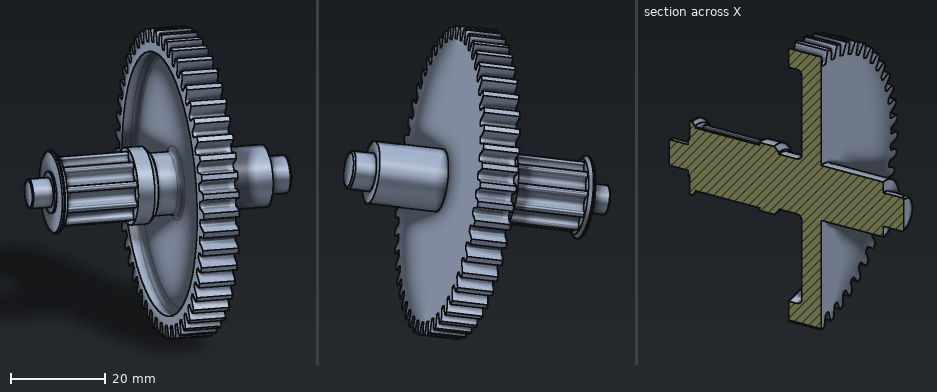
import cadquery as cq
import math


GEAR_TEETH = 50
MODULE = 1.27
PRESSURE_ANGLE = math.radians(14.5)
GEAR_WIDTH = 7.94
GEAR_CLOCKING = -1.2
TOOTH_THICKNESS = 0.5 * math.pi * MODULE
PITCH_RADIUS = 0.5 * MODULE * GEAR_TEETH
TIP_RADIUS = PITCH_RADIUS + MODULE
DEDENDUM_RATIO = 1.2
ROOT_RADIUS = PITCH_RADIUS - DEDENDUM_RATIO * MODULE
BASE_RADIUS = PITCH_RADIUS * math.cos(PRESSURE_ANGLE)
ROOT_FILLET = BASE_RADIUS - ROOT_RADIUS

RECESS_RADIUS = 56.29 / 2
RECESS_DEPTH = 3.2
RECESS_FILLET = 1.27

FRONT_PIN_RADIUS = 6.35 / 2
FRONT_COLLAR_RADIUS = 8.89 / 2
FLANGE_RADIUS = 17.78 / 2
SHOULDER_RADIUS = 16.51 / 2
SHAFT_RADIUS = 13.36 / 2
REAR_PIN_RADIUS = 8.2 / 2

FRONT_PIN_LENGTH = 4.57
FRONT_COLLAR_LENGTH = 0.38
FLANGE_LENGTH = 1.4
PINION_LENGTH = 15.55
SHOULDER_LENGTH = 4.8
NECK_LENGTH = 2.3
REAR_SHAFT_LENGTH = 15.15
REAR_PIN_LENGTH = 4.95

FRONT_PIN_CHAMFER = 0.25
REAR_PIN_CHAMFER = 0.4
SHOULDER_CHAMFER = 1.18
FLANGE_BEVEL = 0.8
FLANGE_BREAK_AXIAL = 0.35
FLANGE_BREAK_RADIAL = 0.25

PINION_GROOVES = 10
PINION_RADIUS = 15.24 / 2
GROOVE_RADIUS = 1.6
GROOVE_CENTER_RADIUS = 7.3
PINION_TIP_FILLET = 0.45

NECK_START = -NECK_LENGTH
SHOULDER_START = NECK_START - SHOULDER_LENGTH
PINION_START = SHOULDER_START - PINION_LENGTH
FLANGE_START = PINION_START - FLANGE_LENGTH
COLLAR_START = FLANGE_START - FRONT_COLLAR_LENGTH
FRONT_END = COLLAR_START - FRONT_PIN_LENGTH
REAR_SHAFT_END = GEAR_WIDTH + REAR_SHAFT_LENGTH


def cylinder(radius, start, length):
    """Solid cylinder on the Y axis from Y = start toward +Y."""
    return cq.Workplane("XZ", origin=(0, start, 0)).circle(radius).extrude(-length)


def polar(radius, angle):
    return (radius * math.cos(angle), radius * math.sin(angle))


def involute_angle(radius):
    """Polar angle swept by the involute between the base circle and a radius."""
    roll = math.sqrt((radius / BASE_RADIUS) ** 2 - 1)
    return roll - math.atan(roll)


def tooth_half_angle(radius):
    """Half of the angle that a gear tooth spans at a radius."""
    at_pitch = TOOTH_THICKNESS / (2 * PITCH_RADIUS)
    return at_pitch + involute_angle(PITCH_RADIUS) - involute_angle(radius)


def tooth_space():
    """One gap between gear teeth, centred on +X: a smooth curve from tip to root to tip."""
    half_pitch = math.pi / GEAR_TEETH
    outer_radius = TIP_RADIUS + 0.5 * MODULE
    flank_radii = (outer_radius, TIP_RADIUS, PITCH_RADIUS, BASE_RADIUS)
    flank = [polar(r, half_pitch - tooth_half_angle(r)) for r in flank_radii]
    half_width = flank[-1][1]
    corner_inset = ROOT_FILLET * (1 - math.sqrt(0.5))
    root = [
        (ROOT_RADIUS + corner_inset, half_width - corner_inset),
        (ROOT_RADIUS, half_width - ROOT_FILLET),
    ]
    upper = flank + root
    lower = [(x, -z) for x, z in reversed(upper)]
    return cq.Workplane("XZ").spline(upper + lower).close().extrude(-GEAR_WIDTH)


def recess():
    """Ring-shaped pocket around the shaft with filleted bottom corners."""
    ring = cylinder(RECESS_RADIUS, 0, RECESS_DEPTH).cut(cylinder(SHAFT_RADIUS, 0, RECESS_DEPTH))
    return ring.faces(">Y").edges().fillet(RECESS_FILLET)


def gear():
    blank = cylinder(TIP_RADIUS, 0, GEAR_WIDTH)
    first_space = tooth_space().val()
    spaces = []
    for index in range(GEAR_TEETH):
        angle = GEAR_CLOCKING + index * 360 / GEAR_TEETH
        spaces.append(first_space.rotate((0, 0, 0), (0, -1, 0), angle))
    return blank.cut(cq.Compound.makeCompound(spaces)).cut(recess())


def pinion():
    """Cylinder with round lengthwise grooves and rounded tooth tips."""
    body = cylinder(PINION_RADIUS, PINION_START, PINION_LENGTH)
    grooves = (
        cq.Workplane("XZ", origin=(0, PINION_START, 0))
        .polarArray(GROOVE_CENTER_RADIUS, 360 / PINION_GROOVES, 360, PINION_GROOVES)
        .circle(GROOVE_RADIUS)
        .extrude(-PINION_LENGTH)
    )
    return body.cut(grooves).edges("|Y").fillet(PINION_TIP_FILLET)


def flange():
    """Thin disc bevelled toward the pinion with a small break at the front edge."""
    disc = cylinder(FLANGE_RADIUS, FLANGE_START, FLANGE_LENGTH)
    disc = disc.faces(">Y").edges().chamfer(FLANGE_BEVEL)
    break_ring = (
        cq.Workplane("XY")
        .polyline([
            (FLANGE_RADIUS - FLANGE_BREAK_RADIAL, FLANGE_START),
            (FLANGE_RADIUS, FLANGE_START),
            (FLANGE_RADIUS, FLANGE_START + FLANGE_BREAK_AXIAL),
        ])
        .close()
        .revolve(360, (0, 0, 0), (0, 1, 0))
    )
    return disc.cut(break_ring)


def shoulder():
    disc = cylinder(SHOULDER_RADIUS, SHOULDER_START, SHOULDER_LENGTH)
    return disc.faces(">Y").edges().chamfer(SHOULDER_CHAMFER)


def front_pin():
    pin = cylinder(FRONT_PIN_RADIUS, FRONT_END, FRONT_PIN_LENGTH)
    pin = pin.faces("<Y").edges().chamfer(FRONT_PIN_CHAMFER)
    return pin.union(cylinder(FRONT_COLLAR_RADIUS, COLLAR_START, FRONT_COLLAR_LENGTH))


def rear_pin():
    pin = cylinder(REAR_PIN_RADIUS, REAR_SHAFT_END, REAR_PIN_LENGTH)
    return pin.faces(">Y").edges().chamfer(REAR_PIN_CHAMFER)


main_shaft = cylinder(SHAFT_RADIUS, NECK_START, REAR_SHAFT_END - NECK_START)

result = gear().union(main_shaft)
for section in (shoulder(), pinion(), flange(), front_pin(), rear_pin()):
    result = result.union(section)